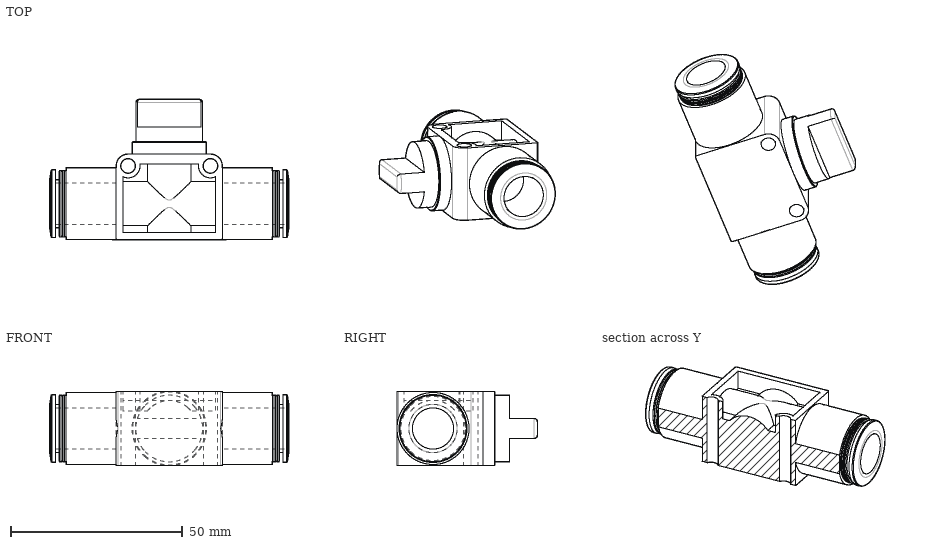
import cadquery as cq


length_x = 69.8
length_y = 41.0
body_depth = 21.7

body_width = 31.0
body_top = 14.5
corner_radius = 3.5
bottom_edge_radius = 0.5

hole_diameter = 4.2

side_wall = 1.95
bottom_wall = 2.1
top_wall = 2.9
pocket_floor_z = 5.2
run_pipe_radius = 8.25
stem_pipe_radius = 8.2

tube_diameter = 21.0
tube_end_x = 30.1
bore_diameter = 12.0
bore_depth = 19.4

collar_face_radius = 7.05
collar_neck_radius = collar_face_radius
flange_diameter = 19.8
flange_bevel_radius = 9.7
flange_bevel_start = 0.4
flange_bevel_end = 0.7
flange_back = 1.75

ring_diameter = 19.5
ring_root_radius = 9.35
ring_tail_radius = 9.6
ring_count = 2
ring_pitch = 1.05
ring_bevel = 0.2
ring_land = 0.4

knob_base_diameter = 21.7
knob_base_top = 18.1
knob_base_bevel = 0.2
knob_diameter = 19.5
knob_shoulder_y = 22.35
grip_thickness = 5.85
grip_edge_radius = 1.0

body_bottom = -tube_diameter / 2
knob_top = body_bottom + length_y
half_width = body_width / 2
half_length = length_x / 2
body_top_z = body_depth / 2
hole_x = half_width - corner_radius
hole_y = body_top - corner_radius
hole_points = [(-hole_x, hole_y), (hole_x, hole_y)]


def box_between(x_range, y_range, z_range):
    """Axis-aligned box given by its limits along each axis."""
    sizes = [high - low for low, high in (x_range, y_range, z_range)]
    return cq.Workplane("XY").box(*sizes, centered=False).translate((x_range[0], y_range[0], z_range[0]))


def cylinder_y(diameter, y_start, y_end):
    """Cylinder on the knob axis."""
    return cq.Workplane("XZ", origin=(0, y_start, 0)).circle(diameter / 2).extrude(y_start - y_end)


def make_block():
    """Plain block with large upper corners and small lower ones."""
    block = box_between(
        (-half_width, half_width), (body_bottom, body_top), (-body_top_z, body_top_z)
    )
    block = block.edges("|Z and >Y").fillet(corner_radius)
    return block.edges("|Z and <Y").fillet(bottom_edge_radius)


def make_pocket():
    """Volume removed from the block: a walled recess around the hole bosses and crossing pipes."""
    inner_x = half_width - side_wall
    inner_y = (body_bottom + bottom_wall, body_top - top_wall)
    pocket = box_between((-inner_x, inner_x), inner_y, (pocket_floor_z, body_top_z))
    bosses = cq.Workplane("XY").pushPoints(hole_points).circle(corner_radius).extrude(body_top_z)
    run_pipe = cq.Workplane("YZ").circle(run_pipe_radius).extrude(half_width, both=True)
    stem_pipe = cylinder_y(2 * stem_pipe_radius, body_bottom, body_top)
    return pocket.cut(bosses).cut(run_pipe).cut(stem_pipe)


def make_knob():
    """Round base and shoulder with a flat grip across the top."""
    base = cylinder_y(knob_base_diameter, hole_y, knob_base_top)
    base = base.faces(">Y").chamfer(knob_base_bevel)
    shoulder = cylinder_y(knob_diameter, body_top, knob_shoulder_y)
    radius = knob_diameter / 2
    grip_slab = box_between(
        (-radius, radius), (body_top, knob_top), (-grip_thickness / 2, grip_thickness / 2)
    )
    grip = cylinder_y(knob_diameter, body_top, knob_top).intersect(grip_slab)
    grip = grip.faces(">Y").edges().fillet(grip_edge_radius)
    return base.union(shoulder).union(grip)


def make_port():
    """Solid port on +X, revolved about the X axis from (x, radius) points."""
    flange_radius = flange_diameter / 2
    ring_radius = ring_diameter / 2
    rings_end_x = tube_end_x + ring_count * ring_pitch
    profile = [
        (0, 0),
        (half_length, 0),
        (half_length, collar_face_radius),
        (half_length - flange_bevel_start, flange_bevel_radius),
        (half_length - flange_bevel_end, flange_radius),
        (half_length - flange_back, flange_radius),
        (half_length - flange_back, collar_neck_radius),
        (rings_end_x, collar_neck_radius),
    ]
    for ring in range(ring_count):
        front = rings_end_x - ring * ring_pitch
        profile += [
            (front, ring_root_radius),
            (front - ring_bevel, ring_radius),
            (front - ring_bevel - ring_land, ring_radius),
            (front - ring_pitch, ring_tail_radius),
        ]
    profile += [(tube_end_x, tube_diameter / 2), (0, tube_diameter / 2)]
    return cq.Workplane("XY").polyline(profile).close().revolve(360, (0, 0, 0), (1, 0, 0))


def make_bore():
    """Blind hose bore of the +X port."""
    bore = cq.Workplane("YZ", origin=(half_length - bore_depth, 0, 0))
    return bore.circle(bore_diameter / 2).extrude(bore_depth)


port = make_port()
bore = make_bore()
holes = cq.Workplane("XY").pushPoints(hole_points).circle(hole_diameter / 2).extrude(body_top_z, both=True)

result = make_block().union(make_knob())
result = result.union(port).union(port.mirror("YZ"))
result = result.cut(make_pocket())
result = result.cut(bore).cut(bore.mirror("YZ")).cut(holes)